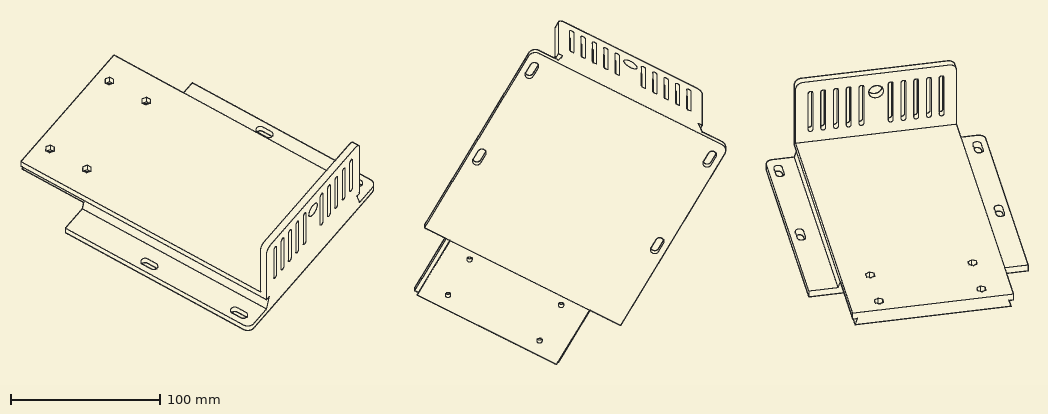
import cadquery as cq
import math

length = 200.0
deck_width = 110.0
sheet = 5.0
deck_top = 20.0
deck_bottom = deck_top - sheet

dovetail_angle = 18.0
dovetail_base_width = deck_width
dovetail_height = deck_bottom - sheet
dovetail_top_width = dovetail_base_width - 2 * dovetail_height * math.tan(math.radians(dovetail_angle))

base_width = 150.0
base_corner_radius = 5.0
overhang_length = 50.0
overhang_bottom = 10.0

wall_top = 70.0
wall_corner_radius = 5.0
wall_inner_x = length - sheet
cable_hole_diameter = 10.0
cable_hole_z = 55.0
vent_width = 3.2
vent_bottom = 28.5
vent_top = 61.5
vents_per_side = 5
first_vent_y = 10.0
last_vent_y = 44.8
vent_pitch = (last_vent_y - first_vent_y) / (vents_per_side - 1)

foot_slot_length = 12.5
foot_slot_width = 5.5
foot_slot_edge_distance = 7.0
foot_slot_centres_x = (113.5, 186.5)

screw_hole_diameter = 3.5
nut_pocket_across_flats = 5.5
nut_pocket_depth = sheet
screw_hole_centres_x = (10.0, 40.0)
screw_hole_y = 35.0


def block(x_start, x_end, width, z_start, z_end):
    """Box between two X and two Z positions, centred on Y."""
    size = (x_end - x_start, width, z_end - z_start)
    return cq.Workplane("XY").box(*size, centered=(False, True, False)).translate((x_start, 0, z_start))


def make_base():
    base = block(overhang_length, length, base_width, 0, sheet)
    return base.edges("|Z and >X").fillet(base_corner_radius)


def make_dovetail():
    half_base = dovetail_base_width / 2
    half_top = dovetail_top_width / 2
    profile = [
        (-half_base, sheet),
        (half_base, sheet),
        (half_top, deck_bottom),
        (-half_top, deck_bottom),
    ]
    rail = cq.Workplane("YZ").polyline(profile).close().extrude(length)
    clearance = block(0, overhang_length, base_width, 0, overhang_bottom)
    return rail.cut(clearance)


def make_end_wall():
    wall = block(wall_inner_x, length, deck_width, deck_bottom, wall_top)
    wall = wall.edges("|X and >Z").fillet(wall_corner_radius)
    vent_offsets = [first_vent_y + i * vent_pitch for i in range(vents_per_side)]
    vent_centre_z = (vent_bottom + vent_top) / 2
    vent_centres = [(side * y, vent_centre_z) for side in (-1, 1) for y in vent_offsets]
    wall_plane = cq.Workplane("YZ", origin=(wall_inner_x, 0, 0))
    vents = wall_plane.pushPoints(vent_centres).slot2D(vent_top - vent_bottom, vent_width, 90).extrude(sheet)
    cable_hole = wall_plane.center(0, cable_hole_z).circle(cable_hole_diameter / 2).extrude(sheet)
    return wall.cut(vents).cut(cable_hole)


def foot_slots():
    slot_y = base_width / 2 - foot_slot_edge_distance
    centres = [(x, side * slot_y) for x in foot_slot_centres_x for side in (-1, 1)]
    return cq.Workplane("XY").pushPoints(centres).slot2D(foot_slot_length, foot_slot_width).extrude(sheet)


def drill_screw_holes(body):
    centres = [(x, side * screw_hole_y) for x in screw_hole_centres_x for side in (-1, 1)]
    deck_plane = cq.Workplane("XY", origin=(0, 0, deck_top))
    holes = deck_plane.pushPoints(centres).circle(screw_hole_diameter / 2).extrude(-deck_top)
    corner_diameter = nut_pocket_across_flats / math.cos(math.pi / 6)
    nut_pockets = deck_plane.pushPoints(centres).polygon(6, corner_diameter).extrude(-nut_pocket_depth)
    return body.cut(holes).cut(nut_pockets)


deck = block(0, length, deck_width, deck_bottom, deck_top)
body = make_base().union(make_dovetail()).union(deck).union(make_end_wall())
result = drill_screw_holes(body.cut(foot_slots()))